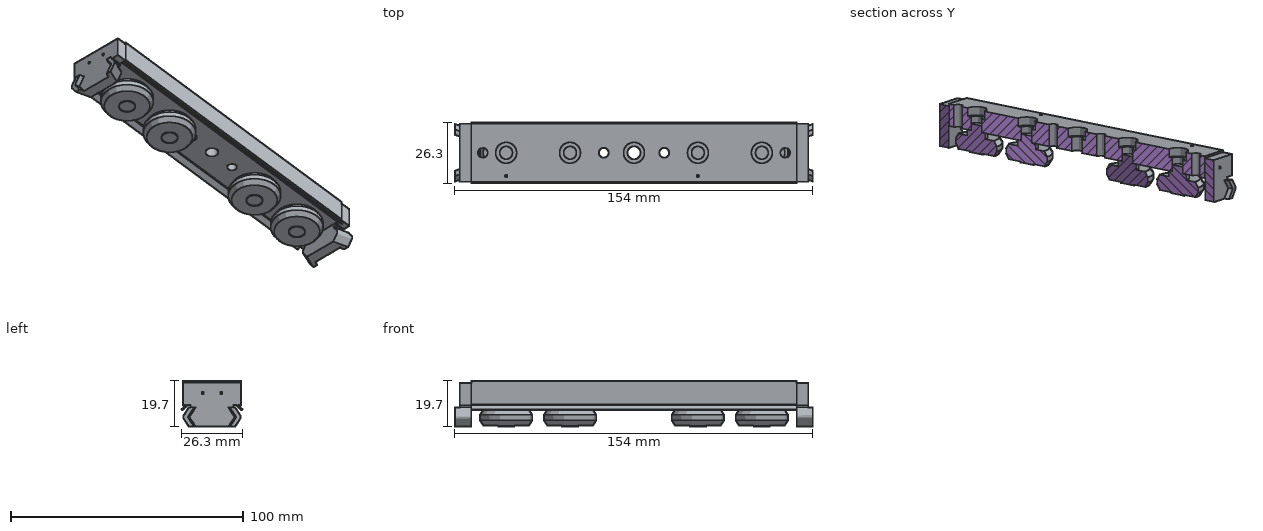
import cadquery as cq

body_length = 140.0
body_width = 25.0
top_z = 19.7
body_bottom_z = 9.75
roller_xs = (-55.0, -27.5, 27.5, 55.0)
counterbore_xs = (*roller_xs, 0.0)
counterbore_diameter = 9.0
counterbore_depth = 3.7
bolt_hole_diameter = 5.5
tapped_xs = (-65.0, -13.0, 13.0, 65.0)
tapped_diameter = 4.13
mark_xs = (-55.0, 27.5)
mark_y = -10.0
mark_diameter = 1.0
mark_depth = 1.0

rim_radius = 11.3
face_radius = 9.8
roller_bottom_z = 0.4
rim_bottom_z = 2.75
rim_top_z = 5.05
roller_top_z = 7.4
boss_radius = 3.5
hub_radius = 5.0
stud_radius = bolt_hole_diameter / 2
stud_top_z = 13.0

seal_outer_y = 13.14
seal_tip_z = 7.45
seal_bend_z = 9.15
seal_edge = 0.45

cap_length = 5.0
cap_top_z = 18.8
cap_bottom_z = 9.25
neck_half_width = 9.3
lip_top_z = 8.3
lip_end_half_width = 10.0
lip_apex_half_width = 12.7
lip_thickness = 2.3
lip_projection = 2.0
apron_flare = 2.4
apex_radius = 1.6
pin_hole_y = 4.0
pin_hole_z = 14.5
pin_hole_diameter = 1.0
selection_margin = 0.1


def make_body():
    height = top_z - body_bottom_z
    body = cq.Workplane("XY", origin=(0, 0, body_bottom_z)).box(
        body_length, body_width, height, centered=(True, True, False)
    )
    top = cq.Workplane("XY", origin=(0, 0, top_z))
    counterbores = top.pushPoints([(x, 0) for x in counterbore_xs])
    body = body.cut(counterbores.circle(counterbore_diameter / 2).extrude(-counterbore_depth))
    body = body.cut(counterbores.circle(bolt_hole_diameter / 2).extrude(-height))
    tapped = top.pushPoints([(x, 0) for x in tapped_xs])
    body = body.cut(tapped.circle(tapped_diameter / 2).extrude(-height))
    marks = top.pushPoints([(x, mark_y) for x in mark_xs])
    return body.cut(marks.circle(mark_diameter / 2).extrude(-mark_depth))


def make_roller(x):
    half_section = [
        (0, 0),
        (boss_radius, 0),
        (boss_radius, roller_bottom_z),
        (face_radius, roller_bottom_z),
        (rim_radius, rim_bottom_z),
        (rim_radius, rim_top_z),
        (face_radius, roller_top_z),
        (hub_radius, roller_top_z),
        (hub_radius, body_bottom_z),
        (stud_radius, body_bottom_z),
        (stud_radius, stud_top_z),
        (0, stud_top_z),
    ]
    roller = cq.Workplane("XZ").polyline(half_section).close().revolve(360, (0, 0), (0, 1))
    return roller.translate((x, 0, 0))


def make_seal(side):
    bend_y = seal_outer_y - (seal_bend_z - seal_tip_z)
    section = [
        (seal_outer_y, seal_tip_z),
        (bend_y, seal_bend_z),
        (bend_y, body_bottom_z),
        (bend_y - 2 * seal_edge, body_bottom_z),
        (bend_y - 2 * seal_edge, seal_bend_z),
        (seal_outer_y - seal_edge, seal_tip_z - seal_edge),
    ]
    seal = cq.Workplane("YZ", origin=(-body_length / 2, 0, 0)).polyline(section).close()
    seal = seal.extrude(body_length)
    return seal if side > 0 else seal.mirror("XZ")


def cap_plane(distance=0):
    """YZ plane at a distance outward from the body's +X end face."""
    return cq.Workplane("YZ", origin=(body_length / 2 + distance, 0, 0))


def v_section(workplane, half_width_at_ends, half_width_at_apex):
    """Hexagon that is widest at mid height, the outline of the flared apron."""
    return workplane.polyline(
        [
            (-half_width_at_ends, 0),
            (half_width_at_ends, 0),
            (half_width_at_apex, lip_top_z / 2),
            (half_width_at_ends, lip_top_z),
            (-half_width_at_ends, lip_top_z),
            (-half_width_at_apex, lip_top_z / 2),
        ]
    ).close()


def flared_prism(inset):
    """Apron shape widening from the body end to the lip ends, with its sides moved in by inset."""
    ends = lip_end_half_width - inset
    apex = lip_apex_half_width - inset
    narrow = v_section(cap_plane(), ends - apron_flare, apex - apron_flare)
    wide = v_section(narrow.workplane(offset=cap_length + lip_projection), ends, apex)
    return wide.loft(ruled=True)


def make_apron():
    """Flared lower part of a cap, hollowed beyond the cap face so that two V-shaped lips project."""
    apex_z = lip_top_z / 2
    apex_edges = cq.selectors.BoxSelector(
        (0, -body_width, apex_z - selection_margin),
        (body_length, body_width, apex_z + selection_margin),
    )
    apron = flared_prism(0).edges(apex_edges).fillet(apex_radius)
    beyond_face = cap_plane(cap_length).rect(body_width, 2 * top_z)
    pocket = flared_prism(lip_thickness).intersect(beyond_face.extrude(lip_projection))
    return apron.cut(pocket)


def make_cap(end):
    """End cap built at +X, then mirrored for the other end."""
    cap = cap_plane().center(0, (cap_top_z + cap_bottom_z) / 2).rect(body_width, cap_top_z - cap_bottom_z)
    cap = cap.extrude(cap_length)
    neck = cap_plane().center(0, (cap_bottom_z + lip_top_z) / 2)
    neck = neck.rect(2 * neck_half_width, cap_bottom_z - lip_top_z)
    cap = cap.union(neck.extrude(cap_length)).union(make_apron())
    pin_holes = cap_plane().pushPoints([(-pin_hole_y, pin_hole_z), (pin_hole_y, pin_hole_z)])
    cap = cap.cut(pin_holes.circle(pin_hole_diameter / 2).extrude(cap_length))
    return cap if end > 0 else cap.mirror("YZ")


slider_body = make_body()
rollers = [make_roller(x) for x in roller_xs]
side_seals = [make_seal(side) for side in (-1, 1)]
end_caps = [make_cap(end) for end in (-1, 1)]

result = cq.Compound.makeCompound(
    [
        slider_body.val(),
        *[roller.val() for roller in rollers],
        *[seal.val() for seal in side_seals],
        *[cap.val() for cap in end_caps],
    ]
)